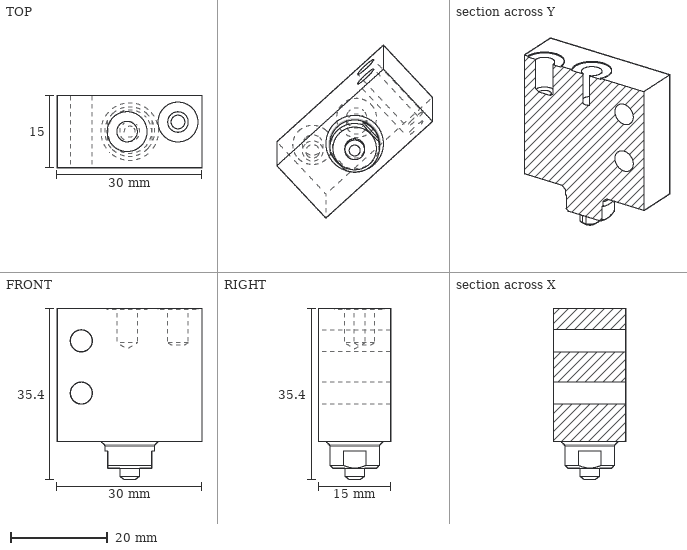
import cadquery as cq
import math

BLOCK_LENGTH = 30.0
BLOCK_DEPTH = 15.0
BLOCK_HEIGHT = 27.55
OVERALL_HEIGHT = 35.43

MOUNT_HOLE_DIAMETER = 4.5
MOUNT_HOLE_SIDE_INSET = 5.0
MOUNT_HOLE_TOP_INSET = 6.7
MOUNT_HOLE_SPACING = 10.8

SPOTFACE_DIAMETER = 8.25
SPOTFACE_DEPTH = 0.2
PORT_DIAMETER = 4.25
PORT_DEPTH = 7.1
PORT_TIP_ANGLE = 118.0
CENTRE_PORT_X = -0.53
CENTRE_PORT_Y = 0.0
SIDE_PORT_X = 10.0
SIDE_PORT_Y = 2.0
SIDE_PORT_FLOOR_DIAMETER = 2.85

COLLAR_RADIUS = 5.15
COLLAR_HEIGHT = 5.53
COLLAR_CHAMFER = 0.65
FLARE_TOP_RADIUS = 5.95
FLARE_BREAK_RADIUS = 5.3
FLARE_BREAK_DROP = 0.55
FLARE_HEIGHT = 0.85
FLAT_HALF_WIDTH = 4.57
FLAT_TOP_DROP = 1.95

PLUNGER_RADIUS = 2.05
PLUNGER_TIP_RADIUS = 1.15
PLUNGER_TIP_HEIGHT = 0.7
PLUNGER_LENGTH = OVERALL_HEIGHT - BLOCK_HEIGHT - COLLAR_HEIGHT


def make_block():
    return cq.Workplane("XY").box(
        BLOCK_LENGTH, BLOCK_DEPTH, BLOCK_HEIGHT, centered=(True, True, False)
    )


def make_collar():
    """Turned collar with a two-step conical flare at its root, a chamfered end and two flats."""
    collar = (
        cq.Workplane("XZ")
        .moveTo(0, 0)
        .lineTo(FLARE_TOP_RADIUS, 0)
        .lineTo(FLARE_BREAK_RADIUS, -FLARE_BREAK_DROP)
        .lineTo(COLLAR_RADIUS, -FLARE_HEIGHT)
        .lineTo(COLLAR_RADIUS, COLLAR_CHAMFER - COLLAR_HEIGHT)
        .lineTo(COLLAR_RADIUS - COLLAR_CHAMFER, -COLLAR_HEIGHT)
        .lineTo(0, -COLLAR_HEIGHT)
        .close()
        .revolve(360, (0, 0, 0), (0, 1, 0))
    )
    flat_length = COLLAR_HEIGHT - FLAT_TOP_DROP
    for side in (-1, 1):
        flat_cutter = (
            cq.Workplane("XY")
            .box(COLLAR_RADIUS, 2 * COLLAR_RADIUS, flat_length, centered=(True, True, False))
            .translate((side * (FLAT_HALF_WIDTH + COLLAR_RADIUS / 2), 0, -COLLAR_HEIGHT))
        )
        collar = collar.cut(flat_cutter)
    return collar


def make_mount_holes():
    hole_x = -BLOCK_LENGTH / 2 + MOUNT_HOLE_SIDE_INSET
    upper_z = BLOCK_HEIGHT - MOUNT_HOLE_TOP_INSET
    return (
        cq.Workplane("XZ")
        .pushPoints([(hole_x, upper_z), (hole_x, upper_z - MOUNT_HOLE_SPACING)])
        .circle(MOUNT_HOLE_DIAMETER / 2)
        .extrude(BLOCK_DEPTH / 2, both=True)
    )


def make_port(x, y, floor_diameter=0.0):
    """Spotfaced port bore whose conical end narrows to a floor, or to a point."""
    bore_radius = PORT_DIAMETER / 2
    floor_radius = floor_diameter / 2
    cone_height = (bore_radius - floor_radius) / math.tan(math.radians(PORT_TIP_ANGLE / 2))
    profile = (
        cq.Workplane("XZ")
        .moveTo(0, 0)
        .lineTo(SPOTFACE_DIAMETER / 2, 0)
        .lineTo(SPOTFACE_DIAMETER / 2, -SPOTFACE_DEPTH)
        .lineTo(bore_radius, -SPOTFACE_DEPTH)
        .lineTo(bore_radius, -PORT_DEPTH)
        .lineTo(floor_radius, -PORT_DEPTH - cone_height)
    )
    if floor_radius > 0:
        profile = profile.lineTo(0, -PORT_DEPTH - cone_height)
    port = profile.close().revolve(360, (0, 0, 0), (0, 1, 0))
    return port.translate((x, y, BLOCK_HEIGHT))


def make_housing():
    return (
        make_block()
        .union(make_collar())
        .cut(make_mount_holes())
        .cut(make_port(CENTRE_PORT_X, CENTRE_PORT_Y))
        .cut(make_port(SIDE_PORT_X, SIDE_PORT_Y, SIDE_PORT_FLOOR_DIAMETER))
    )


def make_plunger():
    """Pin standing on the collar's end face, tapered at its tip."""
    return (
        cq.Workplane("XZ")
        .moveTo(0, 0)
        .lineTo(PLUNGER_RADIUS, 0)
        .lineTo(PLUNGER_RADIUS, PLUNGER_TIP_HEIGHT - PLUNGER_LENGTH)
        .lineTo(PLUNGER_TIP_RADIUS, -PLUNGER_LENGTH)
        .lineTo(0, -PLUNGER_LENGTH)
        .close()
        .revolve(360, (0, 0, 0), (0, 1, 0))
        .translate((0, 0, -COLLAR_HEIGHT))
    )


housing = make_housing()
plunger = make_plunger()
result = cq.Compound.makeCompound([housing.val(), plunger.val()])